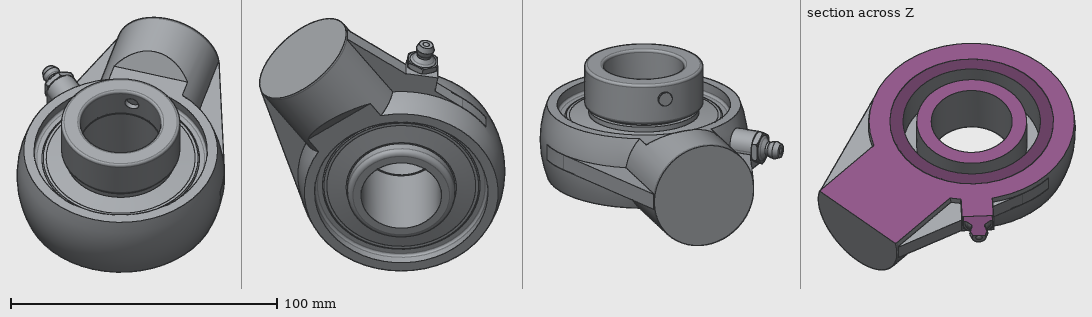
import cadquery as cq
import math


body_sphere_radius = 38.9
body_width = 27.9
pocket_diameter = 65.0
pocket_fillet = 1.0
seat_width = 18.9
shank_diameter = 40.1
shank_end_y = 63.8
neck_end_y = 40.3
rib_thickness = 6.1
shank_edge_chamfer = 0.7
shank_edge_drop = 0.1

nipple_direction = 135
nipple_z = 4.0
boss_width = 12.0
boss_end = 46.7
hex_across_flats = 11.0
hex_height = 2.4
hex_chamfer_height = 0.3
hex_chamfer_depth = 0.6
nipple_shoulder_diameter = 9.9
nipple_shoulder_height = 0.6
nipple_cone_diameter = 8.1
nipple_cone_height = 1.3
nipple_neck_diameter = 5.3
nipple_neck_length = 0.8
nipple_collar_diameter = 6.0
nipple_collar_length = 0.6
nipple_head_diameter = 6.8
nipple_head_rise = 1.7
nipple_head_taper = 2.1
nipple_tip_diameter = 5.1
dome_diameter = 2.5
dome_height = 0.4

outer_ring_sphere_diameter = 62.0
outer_ring_width = 19.5
outer_ring_chamfer = 0.4
outer_ring_land_diameter = 51.4
seal_diameter = 55.9
seal_rise = 0.9
seal_thickness = 1.0
ring_bore = 30.2
ring_bottom_z = -15.9
ring_bottom_diameter = 40.4
ring_bottom_fillet = 2.1
ring_shoulder_diameter = 41.4
ring_shoulder_z = 12.6
cam_diameter = 37.7
cam_top_z = 18.3
cam_bore_chamfer = 0.5

collar_diameter = 44.5
collar_bore = ring_bore
collar_bottom_z = 14.1
collar_top_z = 30.1
collar_fillet = 1.0
screw_diameter = 5.3
screw_z = 24.1
screw_start_y = 17.2
screw_end_y = 23.1

body_half_width = body_width / 2
shank_radius = shank_diameter / 2
outer_ring_half_width = outer_ring_width / 2
seal_inner_z = outer_ring_half_width - seal_thickness
seal_lip_z = outer_ring_half_width + seal_rise


def cylinder(diameter, bottom_z, top_z):
    """Cylinder on the bearing axis."""
    return cq.Workplane("XY").workplane(offset=bottom_z).circle(diameter / 2).extrude(top_z - bottom_z)


def cylinder_along_y(diameter, start_y, end_y, z=0):
    """Cylinder parallel to Y, in the plane X = 0."""
    plane = cq.Plane(origin=(0, start_y, z), xDir=(1, 0, 0), normal=(0, 1, 0))
    return cq.Workplane(plane).circle(diameter / 2).extrude(end_y - start_y)


def nipple_plane(distance):
    """Plane across the nipple axis: local x is horizontal and local y is -Z."""
    angle = math.radians(nipple_direction)
    outward = cq.Vector(math.cos(angle), math.sin(angle), 0)
    origin = outward * distance + cq.Vector(0, 0, nipple_z)
    return cq.Plane(origin=origin, xDir=(math.sin(angle), -math.cos(angle), 0), normal=outward)


def housing_body():
    """Spherical body cut flat on both sides; the half toward the shank has a round band at the rib."""
    face_radius = math.sqrt(body_sphere_radius**2 - body_half_width**2)
    band_half = rib_thickness / 2
    band_edge_radius = math.sqrt(body_sphere_radius**2 - band_half**2)
    arc_z = (body_half_width + band_half) / 2
    arc_radius = math.sqrt(body_sphere_radius**2 - arc_z**2)
    plain_half = (
        cq.Workplane("XZ")
        .moveTo(0, -body_half_width)
        .lineTo(face_radius, -body_half_width)
        .threePointArc((body_sphere_radius, 0), (face_radius, body_half_width))
        .lineTo(0, body_half_width)
        .close()
        .revolve(180, (0, 0, 0), (0, -1, 0))
    )
    banded_half = (
        cq.Workplane("XZ")
        .moveTo(0, -body_half_width)
        .lineTo(face_radius, -body_half_width)
        .threePointArc((arc_radius, -arc_z), (band_edge_radius, -band_half))
        .lineTo(body_sphere_radius, -band_half)
        .lineTo(body_sphere_radius, band_half)
        .lineTo(band_edge_radius, band_half)
        .threePointArc((arc_radius, arc_z), (face_radius, body_half_width))
        .lineTo(0, body_half_width)
        .close()
        .revolve(180, (0, 0, 0), (0, 1, 0))
    )
    return plain_half.union(banded_half)


def housing_shank():
    """Round shank, thinned to the body width by flats that end in 45-degree ramps."""
    clear_z = shank_diameter
    ramp_length = clear_z - body_half_width
    side_outline = (
        cq.Workplane("YZ")
        .moveTo(0, -body_half_width)
        .lineTo(neck_end_y, -body_half_width)
        .lineTo(neck_end_y + ramp_length, -clear_z)
        .lineTo(shank_end_y, -clear_z)
        .lineTo(shank_end_y, clear_z)
        .lineTo(neck_end_y + ramp_length, clear_z)
        .lineTo(neck_end_y, body_half_width)
        .lineTo(0, body_half_width)
        .close()
        .extrude(shank_radius, both=True)
    )
    shank = cylinder_along_y(shank_diameter, 0, shank_end_y)
    shank = shank.faces(">Y").chamfer(shank_edge_chamfer, shank_edge_drop)
    return shank.intersect(side_outline)


def housing_rib():
    """Flat rib whose sides run from the shank end to a tangent on the round band of the body."""
    tip_y = shank_end_y - shank_edge_chamfer
    tip_distance = math.hypot(shank_radius, tip_y)
    tip_angle = math.atan2(tip_y, shank_radius)
    tangent_angle = tip_angle - math.acos(body_sphere_radius / tip_distance)
    tangent_x = body_sphere_radius * math.cos(tangent_angle)
    tangent_y = body_sphere_radius * math.sin(tangent_angle)
    outline = [
        (0, 0),
        (tangent_x, tangent_y),
        (shank_radius, tip_y),
        (-shank_radius, tip_y),
        (-tangent_x, tangent_y),
    ]
    return cq.Workplane("XY").polyline(outline).close().extrude(rib_thickness / 2, both=True)


def grease_boss():
    """Boss with a round top and straight sides that reach down to the underside of the rib."""
    start = pocket_diameter / 2
    drop = nipple_z + rib_thickness / 2
    radius = boss_width / 2
    return (
        cq.Workplane(nipple_plane(start))
        .moveTo(-radius, drop)
        .lineTo(-radius, 0)
        .threePointArc((0, -radius), (radius, 0))
        .lineTo(radius, drop)
        .close()
        .extrude(boss_end - start)
    )


def make_housing():
    solid = housing_body().union(housing_shank()).union(housing_rib()).union(grease_boss())
    pocket = cylinder(pocket_diameter, seat_width / 2, body_width).faces("<Z").edges().fillet(pocket_fillet)
    seat = cq.Workplane("XY").sphere(outer_ring_sphere_diameter / 2)
    return solid.cut(pocket).cut(pocket.mirror("XY")).cut(seat)


def make_nipple():
    hex_diameter = hex_across_flats / math.cos(math.pi / 6)
    hexagon = (
        cq.Workplane(nipple_plane(boss_end))
        .transformed(rotate=(0, 0, 90))
        .polygon(6, hex_diameter)
        .extrude(hex_height)
    )
    corner_limit = (
        cq.Workplane(nipple_plane(boss_end))
        .circle(hex_diameter / 2)
        .extrude(hex_height)
        .edges("%CIRCLE")
        .chamfer(hex_chamfer_height, hex_chamfer_depth)
    )
    hexagon = hexagon.intersect(corner_limit)

    shoulder_end = hex_height + nipple_shoulder_height
    cone_end = shoulder_end + nipple_cone_height
    neck_end = cone_end + nipple_neck_length
    neck_collar_end = neck_end + nipple_collar_length
    widest = neck_collar_end + nipple_head_rise
    tip = widest + nipple_head_taper
    dome_radius = dome_diameter / 2
    half_section = [
        (0, 0),
        (nipple_shoulder_diameter / 2, 0),
        (nipple_shoulder_diameter / 2, hex_height),
        (nipple_cone_diameter / 2, shoulder_end),
        (nipple_neck_diameter / 2, cone_end),
        (nipple_neck_diameter / 2, neck_end),
        (nipple_collar_diameter / 2, neck_collar_end),
        (nipple_head_diameter / 2, widest),
        (nipple_tip_diameter / 2, tip),
        (dome_radius, tip),
    ]
    across = nipple_plane(boss_end)
    section_plane = cq.Plane(origin=across.origin, xDir=across.xDir, normal=across.xDir.cross(across.zDir))
    dome_sphere_radius = (dome_radius**2 + dome_height**2) / (2 * dome_height)
    dome_mid_x = dome_radius / 2
    dome_mid_y = tip + dome_height - dome_sphere_radius + math.sqrt(dome_sphere_radius**2 - dome_mid_x**2)
    stem = (
        cq.Workplane(section_plane)
        .polyline(half_section)
        .threePointArc((dome_mid_x, dome_mid_y), (0, tip + dome_height))
        .close()
        .revolve(360, (0, 0, 0), (0, 1, 0))
    )
    return hexagon.union(stem)


def make_outer_ring():
    """Ring with a spherical outside, a round land inside and a seal recess on each side."""
    sphere = cq.Workplane("XY").sphere(outer_ring_sphere_diameter / 2)
    slab = cylinder(outer_ring_sphere_diameter, -outer_ring_half_width, outer_ring_half_width)
    ring = sphere.intersect(slab).faces("<Z or >Z").edges().chamfer(outer_ring_chamfer)
    ring = ring.cut(cylinder(outer_ring_land_diameter, -outer_ring_width, outer_ring_width))
    recess = cylinder(seal_diameter, seal_inner_z, outer_ring_width)
    return ring.cut(recess).cut(recess.mirror("XY"))


def make_inner_ring():
    """Inner ring with an upper shoulder and a cam that enters the locking collar."""
    lower = cylinder(ring_bottom_diameter, ring_bottom_z, 0).faces("<Z").edges().fillet(ring_bottom_fillet)
    shoulder = cylinder(ring_shoulder_diameter, -seal_lip_z, ring_shoulder_z)
    cam = cylinder(cam_diameter, 0, cam_top_z)
    ring = lower.union(shoulder).union(cam)
    ring = ring.cut(cylinder(ring_bore, ring_bottom_z, cam_top_z))
    return ring.faces(">Z").edges(cq.selectors.RadiusNthSelector(0)).chamfer(cam_bore_chamfer)


def make_seal():
    """Upper seal, rising as a cone from the outer ring face to the inner ring shoulder."""
    half_section = [
        (ring_shoulder_diameter / 2, seal_inner_z),
        (seal_diameter / 2, seal_inner_z),
        (seal_diameter / 2, outer_ring_half_width),
        (ring_shoulder_diameter / 2, seal_lip_z),
    ]
    return cq.Workplane("XZ").polyline(half_section).close().revolve(360, (0, 0, 0), (0, 1, 0))


def make_locking_collar():
    """Collar with a bore, a recess for the cam and a radial hole for the set screw."""
    collar = cylinder(collar_diameter, collar_bottom_z, collar_top_z)
    collar = collar.cut(cylinder(collar_bore, collar_bottom_z, collar_top_z))
    collar = collar.faces(">Z").edges().fillet(collar_fillet)
    collar = collar.faces("<Z").edges(cq.selectors.RadiusNthSelector(-1)).fillet(collar_fillet)
    collar = collar.cut(cylinder(cam_diameter, collar_bottom_z, cam_top_z))
    return collar.cut(cylinder_along_y(screw_diameter, 0, screw_end_y, screw_z))


def make_set_screw():
    return cylinder_along_y(screw_diameter, screw_start_y, screw_end_y, screw_z)


housing = make_housing()
nipple = make_nipple()
outer_ring = make_outer_ring()
inner_ring = make_inner_ring()
upper_seal = make_seal()
seals = [upper_seal, upper_seal.mirror("XY")]
locking_collar = make_locking_collar()
set_screw = make_set_screw()

result = cq.Compound.makeCompound(
    [
        housing.val(),
        nipple.val(),
        outer_ring.val(),
        inner_ring.val(),
        *[seal.val() for seal in seals],
        locking_collar.val(),
        set_screw.val(),
    ]
)